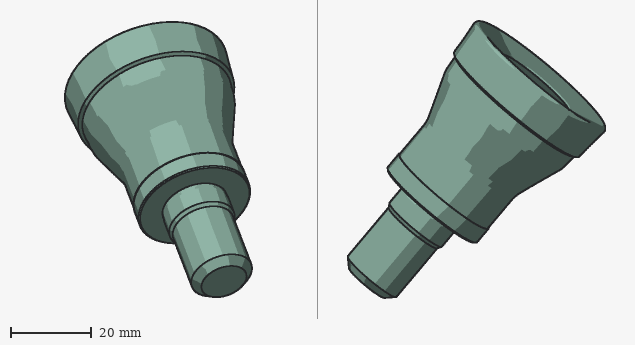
import cadquery as cq
import math


RIM_OUTER_RADIUS = 21.0
RIM_ROUND = 1.0
OUTER_TAPER = 5.0
DISH_ANGLE = 14.0
RING_BACK = 10.3
RING_CHAMFER = 0.55
RING_BORE_RADIUS = 10.9
BORE_ROUND = 0.6

SHOULDER_RADIUS = 19.3
SHOULDER_CORNER_X = 14.7
NECK_RADIUS = 28.6 / 2
NECK_START = 27.5
NECK_BLEND = 4.75
SELECT_MARGIN = 0.7
COLLAR_RADIUS = 29.0 / 2
COLLAR_START = 38.1
COLLAR_END = 42.85
COLLAR_CHAMFER = 0.35

SHANK_NECK_RADIUS = 8.35
SHANK_NECK_END = 43.45
PILOT_RADIUS = 17.0 / 2
PILOT_START = 44.3
PILOT_END = 49.0
SHANK_RADIUS = 15.8 / 2
SHANK_START = 50.05
SHANK_END = 68.0
SHANK_CHAMFER = 2.05

taper = math.radians(OUTER_TAPER)
dish = math.radians(DISH_ANGLE)

rim_center_radius = RIM_OUTER_RADIUS - RIM_ROUND
rim_outer_x = RIM_ROUND * (1 + math.sin(taper))
rim_outer_radius = rim_center_radius + RIM_ROUND * math.cos(taper)
rim_inner_x = RIM_ROUND * (1 - math.cos(dish))
rim_inner_radius = rim_center_radius - RIM_ROUND * math.sin(dish)

bore_center_radius = RING_BORE_RADIUS + BORE_ROUND
bore_tangent_radius = bore_center_radius - BORE_ROUND * math.sin(dish)
bore_tangent_x = rim_inner_x + (rim_inner_radius - bore_tangent_radius) * math.tan(dish)
bore_center_x = bore_tangent_x + BORE_ROUND * math.cos(dish)
bore_mid_angle = (math.pi / 2 + dish) / 2
bore_mid_x = bore_center_x - BORE_ROUND * math.cos(bore_mid_angle)
bore_mid_radius = bore_center_radius - BORE_ROUND * math.sin(bore_mid_angle)


def revolve_about_x(profile):
    return profile.close().revolve(360, (0, 0, 0), (1, 0, 0))


def make_cup_ring():
    """Dished ring with a through bore that receives the holder's spigot."""
    chamfer_x = RING_BACK - RING_CHAMFER
    chamfer_radius = rim_outer_radius - (chamfer_x - rim_outer_x) * math.tan(taper)
    profile = (
        cq.Workplane("XY")
        .moveTo(RING_BACK, RING_BORE_RADIUS)
        .lineTo(RING_BACK, SHOULDER_RADIUS)
        .lineTo(chamfer_x, chamfer_radius)
        .lineTo(rim_outer_x, rim_outer_radius)
        .threePointArc((0, rim_center_radius), (rim_inner_x, rim_inner_radius))
        .lineTo(bore_tangent_x, bore_tangent_radius)
        .threePointArc((bore_mid_x, bore_mid_radius), (bore_center_x, RING_BORE_RADIUS))
    )
    return revolve_about_x(profile)


def make_holder():
    """Waisted body with a front spigot, rear collar and stepped shank."""
    shoulder_drop = (SHOULDER_CORNER_X - RING_BACK) * math.tan(taper)
    profile = (
        cq.Workplane("XY")
        .moveTo(bore_center_x, 0)
        .lineTo(bore_center_x, RING_BORE_RADIUS)
        .lineTo(RING_BACK, RING_BORE_RADIUS)
        .lineTo(RING_BACK, SHOULDER_RADIUS)
        .lineTo(SHOULDER_CORNER_X, SHOULDER_RADIUS - shoulder_drop)
        .lineTo(NECK_START, NECK_RADIUS)
        .lineTo(COLLAR_START, NECK_RADIUS)
        .lineTo(COLLAR_START, COLLAR_RADIUS)
        .lineTo(COLLAR_END - COLLAR_CHAMFER, COLLAR_RADIUS)
        .lineTo(COLLAR_END, COLLAR_RADIUS - COLLAR_CHAMFER)
        .lineTo(COLLAR_END, SHANK_NECK_RADIUS)
        .lineTo(SHANK_NECK_END, SHANK_NECK_RADIUS)
        .lineTo(PILOT_START, PILOT_RADIUS)
        .lineTo(PILOT_END, PILOT_RADIUS)
        .lineTo(SHANK_START, SHANK_RADIUS)
        .lineTo(SHANK_END - SHANK_CHAMFER, SHANK_RADIUS)
        .lineTo(SHANK_END, SHANK_RADIUS - SHANK_CHAMFER)
        .lineTo(SHANK_END, 0)
    )
    return blend_waist(revolve_about_x(profile))


def blend_waist(body):
    """Round both ends of the cone between the shoulder and the neck."""
    waist_ends = cq.selectors.BoxSelector(
        (SHOULDER_CORNER_X - SELECT_MARGIN, -SHOULDER_RADIUS, -SHOULDER_RADIUS),
        (NECK_START + SELECT_MARGIN, SHOULDER_RADIUS, SHOULDER_RADIUS),
        boundingbox=True,
    )
    return body.edges(waist_ends).edges("%CIRCLE").fillet(NECK_BLEND)


cup_ring = make_cup_ring()
holder = make_holder()

result = cq.Compound.makeCompound([cup_ring.val(), holder.val()])